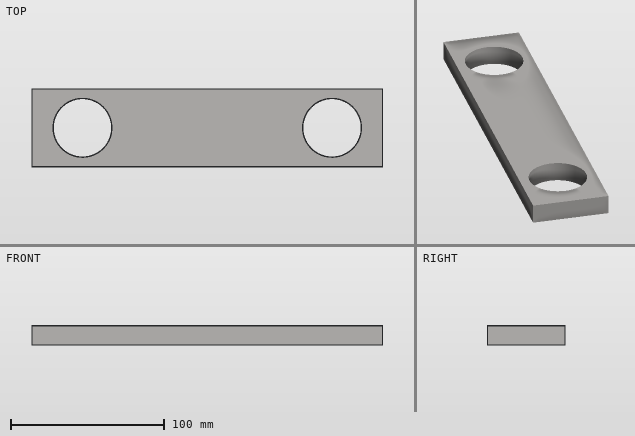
import cadquery as cq

bar_length = 228.6
bar_width = 50.8
bar_thickness = 12.7

hole_diameter = 38.1
hole_spacing = 162.56


def make_bar():
    """Plain rectangular bar centred on the origin."""
    return cq.Workplane("XY").box(bar_length, bar_width, bar_thickness)


def cut_end_holes(bar):
    """Cut one through hole near each end, on the lengthwise centreline."""
    centers = [(side * hole_spacing / 2, 0) for side in (-1, 1)]
    return bar.faces(">Z").workplane().pushPoints(centers).hole(hole_diameter)


result = cut_end_holes(make_bar())